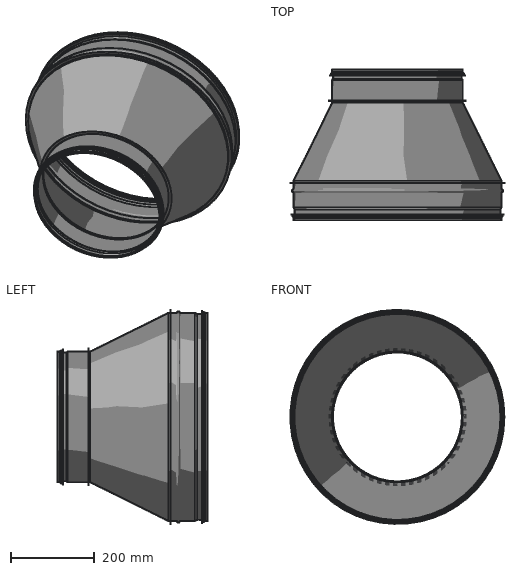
import cadquery as cq
import math

LENGTH = 361.5
WIDE_SEAM_RADIUS = 256.5
SHEET = 0.5

WIDE_RADIUS = 249.5
NARROW_RADIUS = 157.0
SEAM_HEIGHT = WIDE_SEAM_RADIUS - WIDE_RADIUS
WIDE_SEAM_DEPTH = 90.0
NARROW_SEAM_DEPTH = 75.0
GROOVE_DROP = 2.5
GROOVE_FLARE = 0.5
HEM_CORNER = 0.75
HEM_LENGTH = 6.5
WIDE_STEP = (25.0, 31.5)
NARROW_STEP = (22.0, 25.5)

BEAD_DEPTH = 71.0
BEAD_HEIGHT = 4.0
BEAD_HALF_WIDTH = 5.5

FLANGE_SHEET = 0.75
NECK_LENGTH = 5.0

GASKET_START_DEPTH = 5.0
GASKET_BARB_HEIGHT = 1.0
GASKET_BARB_DEPTH = 8.0
GASKET_SHOULDER_HEIGHT = 2.5
GASKET_SHOULDER_DEPTH = 10.5
GASKET_LIP_HEIGHT = 5.0
GASKET_LIP_DEPTH = 13.5
GASKET_END_DEPTH = 15.0


def revolve(profile):
    """Turn a closed (radius, axial) profile fully around the Y axis."""
    return profile.close().revolve(360, (0, 0, 0), (0, 1, 0))


def add_bead(profile, inset, direction):
    """Trace the bead along the sheet face lying `inset` below the outside, going along `direction`."""
    bend = (BEAD_HALF_WIDTH**2 + BEAD_HEIGHT**2) / (4 * BEAD_HEIGHT)
    half_turn = math.atan2(BEAD_HEIGHT, BEAD_HALF_WIDTH)
    foot_bend = bend + inset
    crown_bend = bend - inset
    crown_centre = WIDE_RADIUS + BEAD_HEIGHT - bend

    def foot(angle, side):
        radius = WIDE_RADIUS + bend - foot_bend * math.cos(angle)
        return radius, BEAD_DEPTH + side * (BEAD_HALF_WIDTH - foot_bend * math.sin(angle))

    def crown(angle, side):
        return crown_centre + crown_bend * math.cos(angle), BEAD_DEPTH + side * crown_bend * math.sin(angle)

    near, far = -direction, direction
    return (
        profile.lineTo(*foot(0, near))
        .threePointArc(foot(half_turn, near), foot(2 * half_turn, near))
        .threePointArc(crown(0, near), crown(2 * half_turn, far))
        .threePointArc(foot(half_turn, far), foot(0, far))
    )


def groove_radius(sleeve_outer, step, depth):
    """Outer radius of the groove floor, which flares evenly from the step out to the mouth."""
    groove_end = step[0]
    flare = GROOVE_FLARE * (groove_end - depth) / (groove_end - SHEET)
    return sleeve_outer - GROOVE_DROP + flare


def make_sleeve(outer, seam_depth, step, beaded):
    """Sheet sleeve with its mouth at Y = 0: a hemmed mouth, a gasket groove and a seam flange."""
    inner = outer - SHEET
    groove_outer = outer - GROOVE_DROP
    groove_inner = groove_outer - SHEET
    mouth_inner = groove_inner + GROOVE_FLARE
    mouth_outer = groove_outer + GROOVE_FLARE
    flange_outer = outer + SEAM_HEIGHT
    flange_face = seam_depth - FLANGE_SHEET

    profile = (
        cq.Workplane("XY")
        .moveTo(inner, HEM_LENGTH)
        .lineTo(inner, SHEET)
        .lineTo(mouth_outer, SHEET)
        .lineTo(groove_outer, step[0])
        .lineTo(outer, step[1])
    )
    if beaded:
        profile = add_bead(profile, 0, 1)
    profile = (
        profile.lineTo(outer, flange_face)
        .lineTo(flange_outer, flange_face)
        .lineTo(flange_outer, seam_depth)
        .lineTo(inner, seam_depth)
    )
    if beaded:
        profile = add_bead(profile, SHEET, -1)
    profile = (
        profile.lineTo(inner, step[1])
        .lineTo(groove_inner, step[0])
        .lineTo(mouth_inner, HEM_CORNER)
        .radiusArc((mouth_inner + HEM_CORNER, 0), -HEM_CORNER)
        .lineTo(outer - HEM_CORNER, 0)
        .radiusArc((outer, HEM_CORNER), -HEM_CORNER)
        .lineTo(outer, HEM_LENGTH)
    )
    return revolve(profile)


def make_gasket(sleeve_outer, step):
    """Rubber ring seated in the groove and tucked under the hem, with a barb and a thin lip."""
    under_hem = sleeve_outer - SHEET
    shoulder = sleeve_outer + GASKET_SHOULDER_HEIGHT
    lip_tip = sleeve_outer + GASKET_LIP_HEIGHT
    profile = (
        cq.Workplane("XY")
        .moveTo(groove_radius(sleeve_outer, step, GASKET_START_DEPTH), GASKET_START_DEPTH)
        .lineTo(under_hem, GASKET_START_DEPTH)
        .lineTo(under_hem, HEM_LENGTH)
        .lineTo(sleeve_outer, HEM_LENGTH)
        .lineTo(sleeve_outer + GASKET_BARB_HEIGHT, GASKET_BARB_DEPTH)
        .lineTo(shoulder, GASKET_SHOULDER_DEPTH)
        .lineTo(shoulder, GASKET_LIP_DEPTH)
        .lineTo(lip_tip, GASKET_LIP_DEPTH)
        .lineTo(lip_tip, GASKET_END_DEPTH)
        .lineTo(groove_radius(sleeve_outer, step, GASKET_END_DEPTH), GASKET_END_DEPTH)
    )
    return revolve(profile)


def make_cone():
    """Conical sheet with a short straight neck and a seam flange at each end."""
    wide_seam = WIDE_SEAM_DEPTH
    narrow_seam = LENGTH - NARROW_SEAM_DEPTH
    cone_start = wide_seam + NECK_LENGTH
    cone_end = narrow_seam - NECK_LENGTH
    wide_inner = WIDE_RADIUS - SHEET
    narrow_inner = NARROW_RADIUS - SHEET
    narrow_seam_radius = NARROW_RADIUS + SEAM_HEIGHT
    wide_flange_face = wide_seam + FLANGE_SHEET
    narrow_flange_face = narrow_seam - FLANGE_SHEET
    profile = (
        cq.Workplane("XY")
        .moveTo(wide_inner, wide_seam)
        .lineTo(WIDE_SEAM_RADIUS, wide_seam)
        .lineTo(WIDE_SEAM_RADIUS, wide_flange_face)
        .lineTo(WIDE_RADIUS, wide_flange_face)
        .lineTo(WIDE_RADIUS, cone_start)
        .lineTo(NARROW_RADIUS, cone_end)
        .lineTo(NARROW_RADIUS, narrow_flange_face)
        .lineTo(narrow_seam_radius, narrow_flange_face)
        .lineTo(narrow_seam_radius, narrow_seam)
        .lineTo(narrow_inner, narrow_seam)
        .lineTo(narrow_inner, cone_end)
        .lineTo(wide_inner, cone_start)
    )
    return revolve(profile)


def at_narrow_end(body):
    """Mirror a body built at the wide mouth so that it opens at the narrow end."""
    return body.mirror("XZ").translate((0, LENGTH, 0))


cone = make_cone()
wide_sleeve = make_sleeve(WIDE_RADIUS, WIDE_SEAM_DEPTH, WIDE_STEP, beaded=True)
narrow_sleeve = at_narrow_end(make_sleeve(NARROW_RADIUS, NARROW_SEAM_DEPTH, NARROW_STEP, beaded=False))
wide_gasket = make_gasket(WIDE_RADIUS, WIDE_STEP)
narrow_gasket = at_narrow_end(make_gasket(NARROW_RADIUS, NARROW_STEP))

result = cq.Compound.makeCompound(
    [cone.val(), wide_sleeve.val(), narrow_sleeve.val(), wide_gasket.val(), narrow_gasket.val()]
)